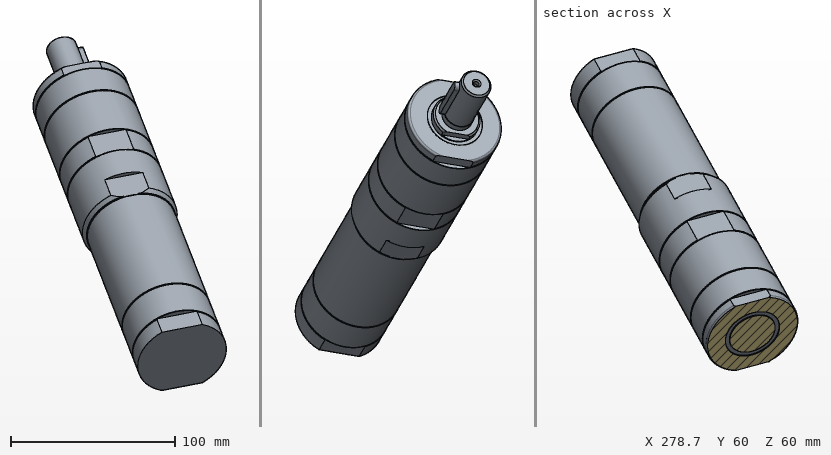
import cadquery as cq

length = 278.7
shaft_dia = 19.0
shaft_end_chamfer = 1.0
neck_dia = 19.5
neck_start = 35.5

center_hole_dia = 3.5
center_hole_depth = 5.5
countersink_dia = 5.5
countersink_depth = (countersink_dia - center_hole_dia) / 2

key_start = 4.5
key_end = 37.0
key_width = 5.9
key_top = 12.3

collar_start = 39.5
collar_dia = 29.8
collar_chamfer = 1.0
collar_flats = 24.2
recess_dia = 35.0
recess_depth = 0.8

gearbox_start = 43.8
gearbox_dia = 60.0
gearbox_front_fillet = 1.5
gearbox_flats = 55.0
gearbox_rear_chamfer_drop = 2.2
gearbox_rear_chamfer_length = 3.5

motor_start = 162.2
motor_dia = 56.0
motor_flats = 50.0

front_flat_end = 51.0
middle_flat_start = 106.0
middle_flat_end = 124.0
rear_flat_start = 144.6
motor_flat_start = 266.7

seam_width = 0.8
seam_depth = 0.15
gear_stage_seam = 71.0
motor_cover_seam = 242.5
gearbox_seams = [front_flat_end, gear_stage_seam, middle_flat_start, middle_flat_end]
motor_seams = [motor_start - seam_width / 2, motor_cover_seam, motor_flat_start]


def rod(start, end, diameter):
    """Cylinder on the X axis between two stations."""
    return cq.Workplane("YZ", origin=(start, 0, 0)).circle(diameter / 2).extrude(end - start)


def cut_flats(body, start, end, across):
    """Trim a body above and below to a given height between two stations."""
    depth = gearbox_dia
    for side in (1, -1):
        cutter = cq.Workplane("XY").box(end - start, 2 * gearbox_dia, depth)
        cutter = cutter.translate(((start + end) / 2, 0, side * (across + depth) / 2))
        body = body.cut(cutter)
    return body


def cut_seam(body, station, diameter):
    """Cut a shallow ring groove centred on a station."""
    start = station - seam_width / 2
    end = station + seam_width / 2
    ring = rod(start, end, diameter + 2 * seam_depth).cut(rod(start, end, diameter - 2 * seam_depth))
    return body.cut(ring)


def make_gearbox():
    body = rod(gearbox_start, motor_start, gearbox_dia)
    body = body.faces("<X").edges().fillet(gearbox_front_fillet)
    body = body.faces(">X").chamfer(gearbox_rear_chamfer_length, gearbox_rear_chamfer_drop)
    body = cut_flats(body, gearbox_start, front_flat_end, gearbox_flats)
    body = cut_flats(body, middle_flat_start, middle_flat_end, gearbox_flats)
    body = cut_flats(body, rear_flat_start, motor_start, gearbox_flats)
    for station in gearbox_seams:
        body = cut_seam(body, station, gearbox_dia)
    return body.cut(rod(gearbox_start, gearbox_start + recess_depth, recess_dia))


def make_motor():
    return cut_flats(rod(motor_start, length, motor_dia), motor_flat_start, length, motor_flats)


def make_collar():
    collar = rod(collar_start, gearbox_start + recess_depth, collar_dia)
    collar = collar.faces("<X").edges().chamfer(collar_chamfer)
    return cut_flats(collar, collar_start, gearbox_start, collar_flats)


def make_shaft():
    shaft = rod(0, neck_start, shaft_dia).faces("<X").edges().chamfer(shaft_end_chamfer)
    return shaft.union(rod(neck_start, gearbox_start + recess_depth, neck_dia))


def make_key():
    key = cq.Workplane("XZ").center((key_start + key_end) / 2, 0)
    return key.slot2D(key_end - key_start, key_width).extrude(-key_top)


def make_center_hole():
    """Lathe centre in the shaft end: countersink, straight bore and conical tip."""
    hole_radius = center_hole_dia / 2
    outline = (
        cq.Workplane("XY")
        .lineTo(0, countersink_dia / 2)
        .lineTo(countersink_depth, hole_radius)
        .lineTo(center_hole_depth - hole_radius, hole_radius)
        .lineTo(center_hole_depth, 0)
        .close()
    )
    return outline.revolve(360, (0, 0, 0), (1, 0, 0))


result = make_gearbox().union(make_motor())
for station in motor_seams:
    result = cut_seam(result, station, motor_dia)
result = result.union(make_collar()).union(make_shaft()).union(make_key())
result = result.cut(make_center_hole())